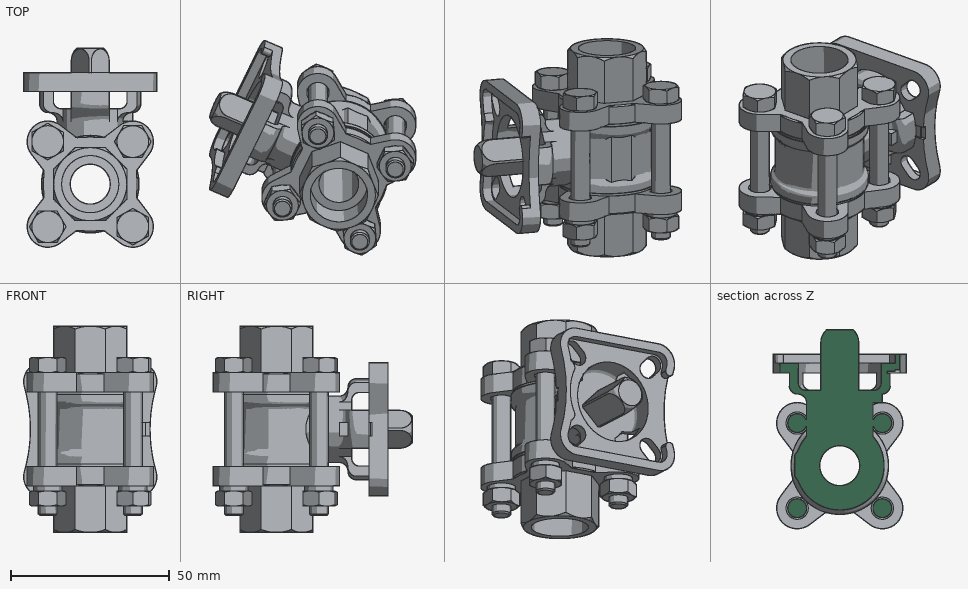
import cadquery as cq
import math

overall_length = 65.0
bore_diameter = 12.5
socket_diameter = 18.0
socket_depth = 10.1

flange_inner_z = 11.7
flange_outer_z = 17.8
flange_disc_diameter = 30.5
flange_disc_chamfer = 0.45
flange_waist = 4.27
lobe_radius = 6.5
octagon_sides = 8
octagon_across_flats = 23.0
octagon_chamfer_angle = 45.0

bolt_offset = 13.4
bolt_diameter = 6.0
bolt_hole_diameter = 7.0
bolt_end_z = -27.1
bolt_end_chamfer = 0.5
hexagon_sides = 6
hexagon_across_flats = 10.0
hexagon_height = 4.8
hexagon_chamfer_angle = 30.0
washer_diameter = 9.0
washer_thickness = 1.6

body_radius = 14.0
ring_radius = 15.4
ring_relief_radius = 15.0
ring_outer_z = 10.9
ring_inner_z = 8.65
ring_blend_z = 6.25
pad_distance = 14.2
pad_half_width = 3.37
pad_foot_half_width = 4.3
pad_blend_half_width = 4.9
pad_foot_distance = 13.5
pad_half_height = 8.0
pad_root_distance = 12.5

housing_radius = 10.5
housing_top = 23.75
arm_width = 12.0
arm_inner_radius = 13.0
arm_outer_radius = 15.95
arm_inner_blend = 2.2
arm_outer_bend_radius = 2.75
arm_foot = 19.8
stop_reach = 13.46
stop_top = 22.6
stop_half_height = 2.1

plate_inner_y = 29.15
plate_outer_y = 35.15
plate_half_size = 21.0
plate_corner_radius = 6.0
plate_waist = 18.85
slot_diameter = 5.5
slot_inner_pitch_radius = 18.0
slot_outer_pitch_radius = 21.0
recess_floor_y = 32.28
rim_width = 2.76
clearance_radius = 17.4
gap_half_height = 12.4
rim_end_x = 19.13
rim_boss_x = 18.3
rim_boss_z = 7.55
rim_boss_radius = 2.6
notch_start = 15.0
notch_step_depth = 0.5
notch_half_height = 2.1

stem_radius = 6.0
stem_across_flats = 9.0
stem_tip_y = 42.81
stem_tip_radius = 4.25
stem_round_length = 4.0

QUARTER_TURNS = (0, 90, 180, 270)


def cylinder(radius, z_start, z_end):
    """Cylinder on the Z axis."""
    return cq.Workplane("XY").workplane(offset=z_start).circle(radius).extrude(z_end - z_start)


def block(x_range, y_range, z_range):
    """Box between two limits along each axis."""
    size = [high - low for low, high in (x_range, y_range, z_range)]
    corner = (x_range[0], y_range[0], z_range[0])
    return cq.Workplane("XY").box(*size, centered=False).translate(corner)


def stem_cylinder(radius, y_start, y_end):
    """Cylinder on the stem axis (Y)."""
    return cq.Workplane("XZ").workplane(offset=-y_start).circle(radius).extrude(y_start - y_end)


def coned_prism(sides, across_flats, z_start, z_end, angle, both_ends):
    """Regular prism on Z with a vertex on X; cones cut the corners at its upper or at both ends."""
    flat_radius = across_flats / 2
    corner_radius = flat_radius / math.cos(math.pi / sides)
    drop = (corner_radius - flat_radius) * math.tan(math.radians(angle))
    prism = cq.Workplane("XY").workplane(offset=z_start)
    prism = prism.polygon(sides, 2 * corner_radius).extrude(z_end - z_start)
    outline = [(0, z_start)]
    if both_ends:
        outline += [(flat_radius, z_start), (corner_radius, z_start + drop)]
    else:
        outline += [(corner_radius, z_start)]
    outline += [(corner_radius, z_end - drop), (flat_radius, z_end), (0, z_end)]
    cone = cq.Workplane("XZ").polyline(outline).close().revolve(360, (0, 0), (0, 1))
    return prism.intersect(cone)


def star_outline():
    """Four lobes joined to the waist points by tangent lines."""
    waist_reach = math.sqrt((flange_disc_diameter / 2) ** 2 - flange_waist ** 2)
    run = bolt_offset - flange_waist
    rise = bolt_offset - waist_reach
    distance = math.hypot(run, rise)
    heading = math.atan2(rise, run) + math.asin(lobe_radius / distance)
    tangent_length = math.sqrt(distance ** 2 - lobe_radius ** 2)
    tangent_x = flange_waist + tangent_length * math.cos(heading)
    tangent_y = waist_reach + tangent_length * math.sin(heading)
    tip = bolt_offset + lobe_radius / math.sqrt(2)
    lobe_points = [
        (waist_reach, flange_waist),
        (tangent_y, tangent_x),
        (tip, tip),
        (tangent_x, tangent_y),
        (flange_waist, waist_reach),
    ]
    outline = cq.Workplane("XY").moveTo(waist_reach, -flange_waist)
    for turn in QUARTER_TURNS:
        cosine = round(math.cos(math.radians(turn)))
        sine = round(math.sin(math.radians(turn)))
        points = [(x * cosine - y * sine, x * sine + y * cosine) for x, y in lobe_points]
        outline = outline.lineTo(*points[0]).lineTo(*points[1])
        outline = outline.threePointArc(points[2], points[3]).lineTo(*points[4])
    return outline.close()


def upper_end_cap():
    """Bolting flange with the octagonal pipe end and its socket."""
    thickness = flange_outer_z - flange_inner_z
    disc = cylinder(flange_disc_diameter / 2, flange_inner_z, flange_outer_z)
    disc = disc.faces(">Z").edges().chamfer(flange_disc_chamfer)
    star = star_outline().extrude(thickness).translate((0, 0, flange_inner_z))
    end_z = overall_length / 2
    octagon = coned_prism(
        octagon_sides, octagon_across_flats, flange_inner_z, end_z, octagon_chamfer_angle, False
    )
    octagon = octagon.rotate((0, 0, 0), (0, 0, 1), 180 / octagon_sides)
    holes = (
        cq.Workplane("XY")
        .workplane(offset=flange_inner_z)
        .rect(2 * bolt_offset, 2 * bolt_offset, forConstruction=True)
        .vertices()
        .circle(bolt_hole_diameter / 2)
        .extrude(thickness)
    )
    socket = cylinder(socket_diameter / 2, end_z - socket_depth, end_z)
    return star.union(disc).union(octagon).cut(holes).cut(socket)


def bolt_set():
    """Bolt with head, washer and nut on the Z axis."""
    head = coned_prism(
        hexagon_sides, hexagon_across_flats, flange_outer_z, flange_outer_z + hexagon_height,
        hexagon_chamfer_angle, True,
    )
    shank = cylinder(bolt_diameter / 2, bolt_end_z, flange_outer_z)
    shank = shank.faces("<Z").edges().chamfer(bolt_end_chamfer)
    washer_bottom = -flange_outer_z - washer_thickness
    washer = cylinder(washer_diameter / 2, washer_bottom, -flange_outer_z)
    nut = coned_prism(
        hexagon_sides, hexagon_across_flats, washer_bottom - hexagon_height, washer_bottom,
        hexagon_chamfer_angle, True,
    )
    return shank.union(head).union(washer).union(nut)


def ring_blend_points():
    """Points of the S-shaped blend of two equal arcs from the upper ring to the body."""
    middle_radius = (ring_radius + body_radius) / 2
    middle_z = (ring_inner_z + ring_blend_z) / 2
    half_step = (ring_radius - body_radius) / 2
    half_length = (ring_inner_z - ring_blend_z) / 2
    arc_radius = (half_length ** 2 + half_step ** 2) / (2 * half_step)
    half_angle = math.asin(half_length / arc_radius) / 2
    sag = arc_radius * (1 - math.cos(half_angle))
    reach = arc_radius * math.sin(half_angle)
    return {
        "middle": (middle_radius, middle_z),
        "upper_arc": (ring_radius - sag, ring_inner_z - reach),
        "lower_arc": (body_radius + sag, ring_blend_z + reach),
    }


def valve_body():
    """Turned body with a ring and a relief at each end."""
    points = ring_blend_points()
    mirrored = {name: (r, -z) for name, (r, z) in points.items()}
    profile = (
        cq.Workplane("XZ")
        .moveTo(0, flange_inner_z)
        .lineTo(ring_relief_radius, flange_inner_z)
        .lineTo(ring_relief_radius, ring_outer_z)
        .lineTo(ring_radius, ring_outer_z)
        .lineTo(ring_radius, ring_inner_z)
        .threePointArc(points["upper_arc"], points["middle"])
        .threePointArc(points["lower_arc"], (body_radius, ring_blend_z))
        .lineTo(body_radius, -ring_blend_z)
        .threePointArc(mirrored["lower_arc"], mirrored["middle"])
        .threePointArc(mirrored["upper_arc"], (ring_radius, -ring_inner_z))
        .lineTo(ring_radius, -ring_outer_z)
        .lineTo(ring_relief_radius, -ring_outer_z)
        .lineTo(ring_relief_radius, -flange_inner_z)
        .lineTo(0, -flange_inner_z)
        .close()
    )
    return profile.revolve(360, (0, 0), (0, 1))


def marking_pad():
    """Raised flat on the -X side of the body with sloped flanks."""
    blend_distance = math.sqrt(body_radius ** 2 - pad_blend_half_width ** 2)
    right = [
        (-pad_distance, pad_half_width),
        (-pad_foot_distance, pad_foot_half_width),
        (-blend_distance, pad_blend_half_width),
        (-pad_root_distance, pad_blend_half_width),
    ]
    left = [(x, -y) for x, y in reversed(right)]
    pad = cq.Workplane("XY").workplane(offset=-pad_half_height).polyline(right + left).close()
    return pad.extrude(2 * pad_half_height)


def bracket_arms():
    """Four bent arms: a revolved shell kept only inside a cross along X and Z."""
    inner_bend = arm_inner_blend * (1 - math.sqrt(0.5))
    outer_bend = arm_outer_bend_radius * (1 - math.sqrt(0.5))
    bend_radius_end = arm_outer_radius - arm_outer_bend_radius
    bend_y = arm_foot + (bend_radius_end - housing_radius)
    foot_bend = (bend_radius_end - housing_radius) * (1 - math.sqrt(0.5))
    shell = (
        cq.Workplane("XY")
        .moveTo(arm_inner_radius, plate_inner_y)
        .lineTo(arm_inner_radius, housing_top + arm_inner_blend)
        .threePointArc(
            (arm_inner_radius - inner_bend, housing_top + inner_bend),
            (arm_inner_radius - arm_inner_blend, housing_top),
        )
        .lineTo(0, housing_top)
        .lineTo(0, arm_foot)
        .lineTo(housing_radius, arm_foot)
        .threePointArc(
            (housing_radius + foot_bend, bend_y - foot_bend),
            (bend_radius_end, bend_y),
        )
        .threePointArc(
            (arm_outer_radius - outer_bend, bend_y + outer_bend),
            (arm_outer_radius, bend_y + arm_outer_bend_radius),
        )
        .lineTo(arm_outer_radius, plate_inner_y)
        .close()
        .revolve(360, (0, 0), (0, 1))
    )
    half_width = (-arm_width / 2, arm_width / 2)
    reach = (-plate_half_size, plate_half_size)
    height = (arm_foot, plate_inner_y)
    cross = block(reach, height, half_width).union(block(half_width, height, reach))
    return shell.intersect(cross)


def plate_outline():
    """Square with rounded corners and concave sides at -X and +X, tangent to the corners."""
    centre = plate_half_size - plate_corner_radius
    gap = plate_waist - centre
    side_radius = (centre ** 2 + gap ** 2 - plate_corner_radius ** 2) / (2 * (plate_corner_radius - gap))
    slope = math.asin(centre / (side_radius + plate_corner_radius))
    join_x = centre + plate_corner_radius * math.cos(slope)
    join_z = centre - plate_corner_radius * math.sin(slope)
    diagonal = centre + plate_corner_radius * math.sqrt(0.5)
    edge = plate_half_size
    return (
        cq.Workplane("XZ")
        .moveTo(-centre, edge)
        .lineTo(centre, edge)
        .threePointArc((diagonal, diagonal), (join_x, join_z))
        .threePointArc((plate_waist, 0), (join_x, -join_z))
        .threePointArc((diagonal, -diagonal), (centre, -edge))
        .lineTo(-centre, -edge)
        .threePointArc((-diagonal, -diagonal), (-join_x, -join_z))
        .threePointArc((-plate_waist, 0), (-join_x, join_z))
        .threePointArc((-diagonal, diagonal), (-centre, edge))
        .close()
    )


def mounting_plate():
    """Slotted plate, hollowed on its outer face and bored around the stem."""
    thickness = plate_outer_y - plate_inner_y
    blank = plate_outline().extrude(-thickness).translate((0, plate_inner_y, 0))
    plate = blank
    slot_pitch = (slot_inner_pitch_radius + slot_outer_pitch_radius) / 2
    slot_length = slot_outer_pitch_radius - slot_inner_pitch_radius + slot_diameter
    slot = (
        cq.Workplane("XZ")
        .center(slot_pitch, 0)
        .slot2D(slot_length, slot_diameter)
        .extrude(-thickness)
        .translate((0, plate_inner_y, 0))
    )
    diagonal_slot = slot.rotate((0, 0, 0), (0, 1, 0), 45)
    for turn in QUARTER_TURNS:
        plate = plate.cut(diagonal_slot.rotate((0, 0, 0), (0, 1, 0), turn))

    recess_depth = plate_outer_y - recess_floor_y
    recess = plate_outline().offset2D(-rim_width).extrude(-recess_depth).translate((0, recess_floor_y, 0))
    rim_boss = stem_cylinder(rim_boss_radius, recess_floor_y, plate_outer_y)
    for side in (-1, 1):
        recess = recess.cut(rim_boss.translate((rim_boss_x, 0, side * rim_boss_z)))
    recess = recess.union(stem_cylinder(clearance_radius, recess_floor_y, plate_outer_y))

    gap_height = (-gap_half_height, gap_half_height)
    gap = block((-plate_half_size, 0), (recess_floor_y, plate_outer_y), gap_height)
    plate = plate.cut(recess).cut(gap)
    rim_end = stem_cylinder(rim_width / 2, recess_floor_y, plate_outer_y)
    for side in (-1, 1):
        placed_end = rim_end.translate((-rim_end_x, 0, side * gap_half_height))
        plate = plate.union(placed_end.intersect(blank))

    plate = plate.cut(stem_cylinder(arm_inner_radius, plate_inner_y, recess_floor_y))

    notch_height = (-notch_half_height, notch_half_height)
    for step, start in enumerate((notch_start, clearance_radius), 1):
        depth = (plate_inner_y, plate_inner_y + step * notch_step_depth)
        plate = plate.cut(block((start, plate_half_size), depth, notch_height))
    return plate


def stop_block():
    """Block on the +X side of the housing, below the bracket arm."""
    return block((0, stop_reach), (arm_foot, stop_top), (-stop_half_height, stop_half_height))


def stem():
    """Square stem with corners rounded to the shaft and a domed tip."""
    round_drop = stem_radius - stem_tip_radius
    round_radius = (stem_round_length ** 2 + round_drop ** 2) / (2 * round_drop)
    half_angle = math.asin(stem_round_length / round_radius) / 2
    round_start = stem_tip_y - stem_round_length
    round_middle = (
        stem_radius - round_radius * (1 - math.cos(half_angle)),
        round_start + round_radius * math.sin(half_angle),
    )
    shaft = (
        cq.Workplane("XY")
        .moveTo(0, 0)
        .lineTo(stem_radius, 0)
        .lineTo(stem_radius, round_start)
        .threePointArc(round_middle, (stem_tip_radius, stem_tip_y))
        .lineTo(0, stem_tip_y)
        .close()
        .revolve(360, (0, 0), (0, 1))
    )
    half = stem_across_flats / 2
    square = block((-half, half), (0, stem_tip_y), (-half, half)).rotate((0, 0, 0), (0, 1, 0), 45)
    return shaft.intersect(square)


upper_cap = upper_end_cap()
result = valve_body().union(marking_pad())
result = result.union(upper_cap).union(upper_cap.mirror("XY"))
result = result.union(stem_cylinder(housing_radius, 0, housing_top))
result = result.union(bracket_arms()).union(stop_block())
result = result.union(mounting_plate()).union(stem())
result = result.cut(cylinder(bore_diameter / 2, -overall_length / 2, overall_length / 2))

bolt = bolt_set().rotate((0, 0, 0), (0, 0, 1), 90).translate((bolt_offset, -bolt_offset, 0))
for turn in QUARTER_TURNS:
    result = result.union(bolt.rotate((0, 0, 0), (0, 0, 1), turn))